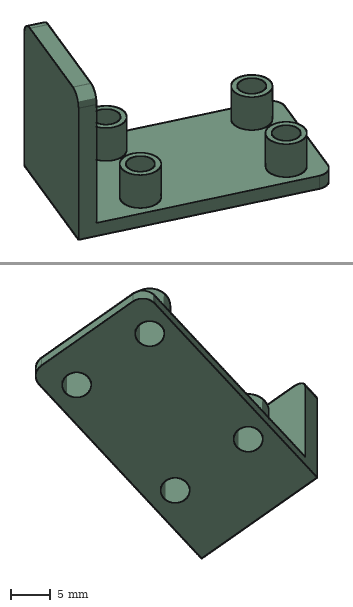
import cadquery as cq

width = 19.0
length = 35.0
height = 22.0
base_thickness = 2.0
wall_thickness = 2.5
corner_radius = 2.0

standoff_diameter = 5.3
bore_diameter = 3.7
standoff_height = 5.0
standoff_spacing_x = 12.0
standoff_spacing_y = 20.0
first_standoff_x = 3.3
first_standoff_y = 9.95

standoff_centers = [
    (first_standoff_x + column * standoff_spacing_x, first_standoff_y + row * standoff_spacing_y)
    for column in range(2)
    for row in range(2)
]


def make_base():
    """Flat plate with its two far vertical corners rounded."""
    plate = cq.Workplane("XY").box(width, length, base_thickness, centered=False)
    return plate.faces(">Y").edges("|Z").fillet(corner_radius)


def make_wall():
    """Upright plate along the near edge with its two top corners rounded."""
    plate = cq.Workplane("XY").box(width, wall_thickness, height, centered=False)
    return plate.faces(">Z").edges("|Y").fillet(corner_radius)


def make_cylinders(diameter):
    """One cylinder per standoff, from the underside of the base to the standoff top."""
    top = base_thickness + standoff_height
    return cq.Workplane("XY").pushPoints(standoff_centers).circle(diameter / 2).extrude(top)


standoffs = make_cylinders(standoff_diameter)
bores = make_cylinders(bore_diameter)
result = make_base().union(make_wall()).union(standoffs).cut(bores)